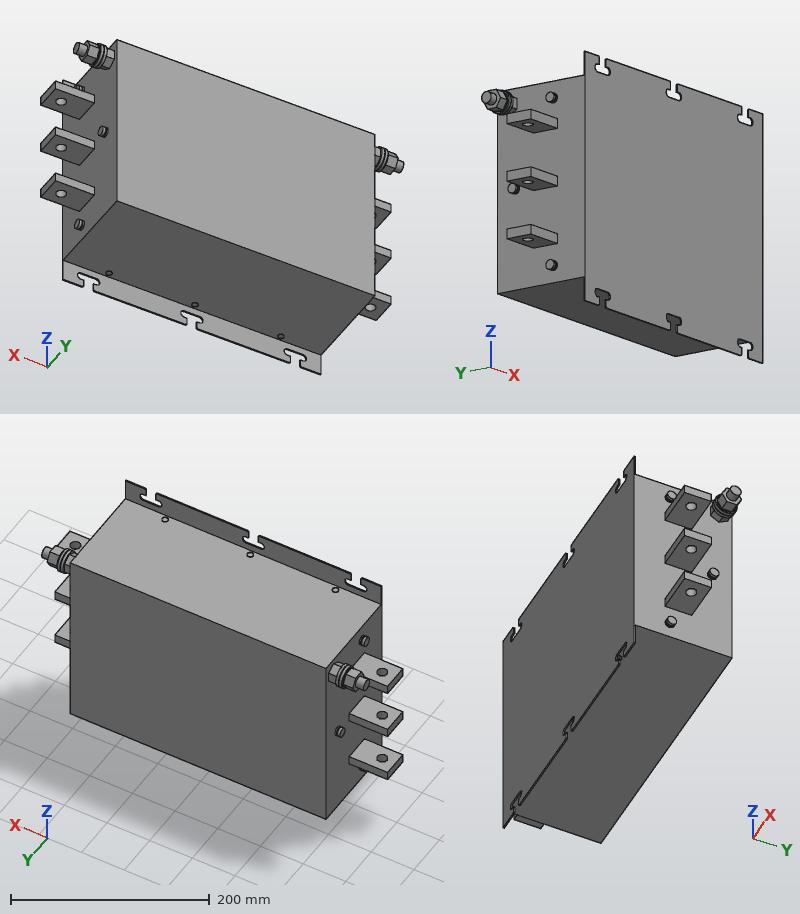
import cadquery as cq
import math


body_width = 300.0
plate_height = 260.0
plate_thickness = 1.5
box_height = 210.5
total_depth = 110.0

slot_pitch = 120.0
slot_length = 25.7
slot_width = 8.0
slot_inset = 13.0
neck_width = 11.5
neck_mouth_chamfer = 1.0

bar_length = 390.0
bar_pitch = 60.0
bar_thickness = 10.0
bar_width = 30.0
bar_center_y = 49.5
bar_hole_diameter = 11.0
bar_hole_x = 179.8

stud_y = 95.0
stud_z = 89.0
stud_diameter = 12.0
stud_length = 38.5
inner_nut_length = 9.8
outer_nut_end = 29.2
nut_across_flats = 19.0
washer_diameter = 24.5
washer_thickness = 3.0
washer_gap = 0.8
spring_washer_diameter = 21.5
spring_washer_thickness = 1.0

plug_diameter = 10.0
plug_length = 6.0
plug_base_thickness = 1.5
plug_groove_width = 0.8
plug_groove_depth = 0.8
plug_positions = [(39.8, 87.5), (39.8, -87.5), (87.5, 0)]

screw_pitch = 100.0
screw_y = 7.5
screw_head_diameter = 6.5
screw_rim_height = 0.8
screw_dome_height = 0.5


def mounting_plate():
    plate = cq.Workplane("XY").box(body_width, plate_thickness, plate_height, centered=(True, False, True))
    edge_z = plate_height / 2
    half_neck = neck_width / 2
    half_mouth = half_neck + neck_mouth_chamfer
    slot = (
        cq.Workplane("XZ")
        .center(0, edge_z - slot_inset)
        .slot2D(slot_length, slot_width)
        .extrude(-plate_thickness)
    )
    neck = (
        cq.Workplane("XZ")
        .moveTo(-half_neck, edge_z - slot_inset)
        .lineTo(half_neck, edge_z - slot_inset)
        .lineTo(half_neck, edge_z - neck_mouth_chamfer)
        .lineTo(half_mouth, edge_z)
        .lineTo(-half_mouth, edge_z)
        .lineTo(-half_neck, edge_z - neck_mouth_chamfer)
        .close()
        .extrude(-plate_thickness)
    )
    upper_cutter = slot.union(neck)
    lower_cutter = upper_cutter.mirror("XY")
    for x in (-slot_pitch, 0, slot_pitch):
        plate = plate.cut(upper_cutter.translate((x, 0, 0)))
        plate = plate.cut(lower_cutter.translate((x, 0, 0)))
    return plate


def box():
    return (
        cq.Workplane("XY")
        .box(body_width, total_depth - plate_thickness, box_height, centered=(True, False, True))
        .translate((0, plate_thickness, 0))
    )


def busbar(z):
    return (
        cq.Workplane("XY", origin=(0, bar_center_y, z))
        .box(bar_length, bar_width, bar_thickness)
        .faces(">Z")
        .workplane()
        .pushPoints([(-bar_hole_x, 0), (bar_hole_x, 0)])
        .hole(bar_hole_diameter)
    )


def side_plane(y, z, distance):
    """Workplane facing +X, at the given distance outside the +X side of the box."""
    return cq.Workplane("YZ", origin=(body_width / 2 + distance, y, z))


def ground_stud():
    nut_across_corners = nut_across_flats / math.cos(math.pi / 6)

    def stud_plane(distance):
        return side_plane(stud_y, stud_z, distance)

    inner_nut = (
        stud_plane(0)
        .transformed(rotate=(0, 0, 90))
        .polygon(6, nut_across_corners)
        .extrude(inner_nut_length)
    )
    second_washer_start = inner_nut_length + washer_thickness + washer_gap
    spring_washer_start = second_washer_start + washer_thickness
    outer_nut_start = spring_washer_start + spring_washer_thickness
    stud = stud_plane(0).circle(stud_diameter / 2).extrude(stud_length)
    stud = stud.union(inner_nut)
    for start in (inner_nut_length, second_washer_start):
        stud = stud.union(stud_plane(start).circle(washer_diameter / 2).extrude(washer_thickness))
    spring_washer = (
        stud_plane(spring_washer_start)
        .circle(spring_washer_diameter / 2)
        .extrude(spring_washer_thickness)
    )
    outer_nut = (
        stud_plane(outer_nut_start)
        .polygon(6, nut_across_corners)
        .extrude(outer_nut_end - outer_nut_start)
    )
    return stud.union(spring_washer).union(outer_nut)


def plug(y, z):
    """Round plug with a narrow groove between its base and its head."""
    radius = plug_diameter / 2
    groove = (
        side_plane(y, z, plug_base_thickness)
        .circle(radius)
        .circle(radius - plug_groove_depth)
        .extrude(plug_groove_width)
    )
    return side_plane(y, z, 0).circle(radius).extrude(plug_length).cut(groove)


def cover_screw(x):
    """Domed head on the upper face of the box."""
    head_radius = screw_head_diameter / 2
    sphere_radius = (head_radius**2 + screw_dome_height**2) / (2 * screw_dome_height)
    rim_z = box_height / 2 + screw_rim_height
    sphere_center_z = rim_z + screw_dome_height - sphere_radius
    sphere = cq.Workplane("XY", origin=(x, screw_y, sphere_center_z)).sphere(sphere_radius)
    dome = (
        cq.Workplane("XY", origin=(x, screw_y, rim_z))
        .circle(head_radius)
        .extrude(screw_dome_height)
        .intersect(sphere)
    )
    return (
        cq.Workplane("XY", origin=(x, screw_y, box_height / 2))
        .circle(head_radius)
        .extrude(screw_rim_height)
        .union(dome)
    )


result = mounting_plate().union(box())

for bar_z in (-bar_pitch, 0, bar_pitch):
    result = result.union(busbar(bar_z))

side_fittings = [ground_stud()] + [plug(y, z) for y, z in plug_positions]
for fitting in side_fittings:
    result = result.union(fitting).union(fitting.mirror("YZ"))

for screw_x in (-screw_pitch, 0, screw_pitch):
    screw = cover_screw(screw_x)
    result = result.union(screw).union(screw.mirror("XY"))